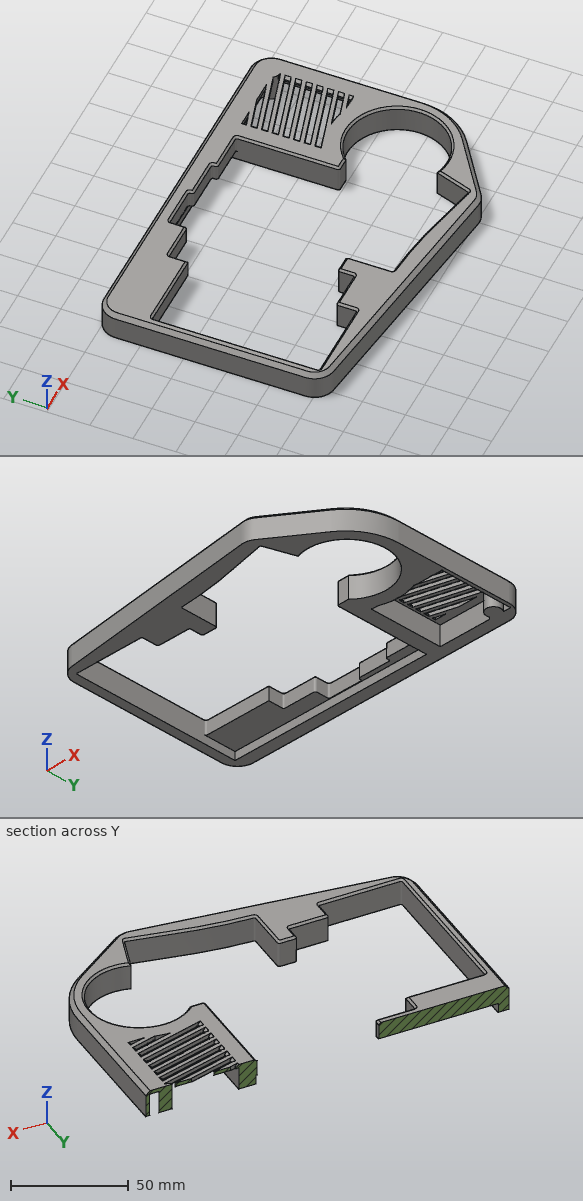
import cadquery as cq
import math

length = 173.4
width = 122.4
height = 13.0

corner_radius = 9.5
keel_angle = 7.35
nose_angle = 34.5
nose_x = 127.0
bay_corner_radius = 32.0
outer_chamfer = 2.0

bay_x = 143.5
bay_y = 45.5
bay_radius = 23.1

enclosing_radius = 0.75
protruding_radius = 1.1
opening_chamfer = 1.0
position_tolerance = 0.01
opening_left = 5.3
opening_right = 120.7
opening_floor = 20.6
upper_ledge_y = [98.2, 107.1, 115.2, 113.0, 110.3]
upper_step_x = [43.2, 62.3, 82.2, 101.4]
bay_lip_y = 62.2
lower_shelf_x = 44.9
lower_shelf_y = 30.2
post_left = 64.0
post_right = 73.0
post_top = 37.9
sweep_start_y = 16.2
sweep_middle = (93.5, 14.1)
sweep_end = (111.0, 10.7)
tooth_foot = (130.4, 6.6)
tooth_tip_x = 136.0

shelf_underside = 4.6
back_wall_y = 115.6
recess_overlap = 2.0

vent_left = 129.0
vent_right = 163.5
vent_bottom = 74.6
vent_top = 111.3
roof_thickness = 2.0
slot_end_bevel_run = 1.4
slot_end_bevel_depth = 1.17
pocket_side_wall = 2.0
pocket_fillet = 1.6
slot_count = 10
slot_angle = 15.0
slot_pitch = 4.79
slot_width = 2.7
bay_wall_radius = 31.0
post_radius = 4.2


def on_circle(x, y, radius, degrees):
    angle = math.radians(degrees)
    return (x + radius * math.cos(angle), y + radius * math.sin(angle))


def frame_body():
    right_corner_x = length - corner_radius
    top_corner_y = width - corner_radius
    keel_direction = -90 - keel_angle
    nose_direction = -90 + nose_angle
    keel_end = on_circle(nose_x, corner_radius, corner_radius, keel_direction)
    nose_low = on_circle(nose_x, corner_radius, corner_radius, -90)
    nose_end = on_circle(nose_x, corner_radius, corner_radius, nose_direction)

    fall = math.radians(keel_angle)
    left_corner_y = corner_radius + (nose_x - corner_radius) * math.tan(fall)
    left_corner = (corner_radius, left_corner_y, corner_radius)

    rise = math.radians(nose_angle)
    bay_corner_x = length - bay_corner_radius
    radius_growth = bay_corner_radius - corner_radius
    bay_corner_y = corner_radius + ((bay_corner_x - nose_x) * math.sin(rise) + radius_growth) / math.cos(rise)
    bay_corner = (bay_corner_x, bay_corner_y, bay_corner_radius)

    top_left = (corner_radius, top_corner_y, corner_radius)
    top_right = (right_corner_x, top_corner_y, corner_radius)
    outline = (
        cq.Workplane("XY")
        .moveTo(*on_circle(*left_corner, keel_direction))
        .lineTo(*keel_end)
        .threePointArc(nose_low, nose_end)
        .lineTo(*on_circle(*bay_corner, nose_direction))
        .threePointArc(on_circle(*bay_corner, nose_direction / 2), on_circle(*bay_corner, 0))
        .lineTo(length, top_corner_y)
        .threePointArc(on_circle(*top_right, 45), on_circle(*top_right, 90))
        .lineTo(corner_radius, width)
        .threePointArc(on_circle(*top_left, 135), on_circle(*top_left, 180))
        .lineTo(0, left_corner_y)
        .threePointArc(on_circle(*left_corner, 225), on_circle(*left_corner, keel_direction))
        .close()
    )
    return outline.extrude(height).faces(">Z").chamfer(outer_chamfer)


def round_uprights(cutter, corners, radius):
    """Round the upright edges of the cutter that stand on the given corners."""

    def stands_on_a_corner(edge):
        center = edge.Center()
        return any(math.dist((center.x, center.y), corner) < position_tolerance for corner in corners)

    return cutter.edges("|Z").filter(stands_on_a_corner).fillet(radius)


def opening_cutter():
    bay_lip_x = bay_x - math.sqrt(bay_radius**2 - (bay_lip_y - bay_y) ** 2)
    tooth_tip_y = bay_y - math.sqrt(bay_radius**2 - (tooth_tip_x - bay_x) ** 2)

    outline = cq.Workplane("XY").moveTo(opening_left, opening_floor).lineTo(opening_left, upper_ledge_y[0])
    for step_x, ledge_before, ledge_after in zip(upper_step_x, upper_ledge_y, upper_ledge_y[1:]):
        outline = outline.lineTo(step_x, ledge_before).lineTo(step_x, ledge_after)
    outline = (
        outline.lineTo(opening_right, upper_ledge_y[-1])
        .lineTo(opening_right, bay_lip_y)
        .lineTo(bay_lip_x, bay_lip_y)
        .threePointArc((bay_x + bay_radius, bay_y), (tooth_tip_x, tooth_tip_y))
        .lineTo(*tooth_foot)
        .lineTo(*sweep_end)
        .threePointArc(sweep_middle, (post_right, sweep_start_y))
        .lineTo(post_right, post_top)
        .lineTo(post_left, post_top)
        .lineTo(post_left, lower_shelf_y)
        .lineTo(lower_shelf_x, lower_shelf_y)
        .lineTo(lower_shelf_x, opening_floor)
        .close()
    )
    enclosing_corners = [
        (opening_left, opening_floor),
        (opening_left, upper_ledge_y[0]),
        (upper_step_x[0], upper_ledge_y[1]),
        (upper_step_x[1], upper_ledge_y[2]),
        (upper_step_x[2], upper_ledge_y[2]),
        (upper_step_x[3], upper_ledge_y[3]),
        (opening_right, upper_ledge_y[4]),
        tooth_foot,
        (post_right, sweep_start_y),
        (post_left, lower_shelf_y),
        (lower_shelf_x, opening_floor),
    ]
    protruding_corners = [
        (upper_step_x[1], upper_ledge_y[1]),
        (upper_step_x[2], upper_ledge_y[3]),
        (upper_step_x[3], upper_ledge_y[4]),
        (opening_right, bay_lip_y),
        (post_right, post_top),
        (post_left, post_top),
        (lower_shelf_x, lower_shelf_y),
    ]
    cutter = outline.extrude(height)
    cutter = round_uprights(cutter, enclosing_corners, enclosing_radius)
    return round_uprights(cutter, protruding_corners, protruding_radius)


def cut_opening(body):
    """Cut the opening and bevel its upper rim."""
    opened = body.cut(opening_cutter())
    upper_face = opened.faces(">Z")
    return opened.newObject(upper_face.val().innerWires()).chamfer(opening_chamfer)


def cut_shelf_recess(body):
    """Clear the space below the upper ledges, flush with the side walls of the opening."""
    recess_front = upper_ledge_y[0] - recess_overlap
    recess = cq.Workplane("XY", origin=(opening_left, recess_front, 0)).box(
        opening_right - opening_left, back_wall_y - recess_front, shelf_underside, centered=False
    )
    return body.cut(recess)


def kept_solid():
    """The wall around the bay and the corner post, which the vent leaves standing."""
    bay_wall = cq.Workplane("XY").center(bay_x, bay_y).circle(bay_wall_radius).extrude(height)
    post = (
        cq.Workplane("XY")
        .center(length - corner_radius, width - corner_radius)
        .circle(post_radius)
        .extrude(height)
    )
    return bay_wall.union(post)


def vent_pocket():
    pocket_right = length - pocket_side_wall
    pocket_depth = height - roof_thickness
    pocket = (
        cq.Workplane("XY", origin=(vent_left, vent_bottom, 0))
        .box(pocket_right - vent_left, back_wall_y - vent_bottom, pocket_depth, centered=False)
        .cut(kept_solid())
    )
    post_side = (length - corner_radius - post_radius, back_wall_y, pocket_depth / 2)
    return pocket.edges(cq.selectors.NearestToPointSelector(post_side)).fillet(pocket_fillet)


def vent_window():
    """Region that bounds the slots, with its two ends bevelled at the top."""
    bevel_bottom = height - slot_end_bevel_depth
    narrow_left = vent_left + slot_end_bevel_run
    narrow_right = vent_right - slot_end_bevel_run
    profile = [
        (narrow_left, 0),
        (narrow_left, bevel_bottom),
        (vent_left, height),
        (vent_right, height),
        (narrow_right, bevel_bottom),
        (narrow_right, 0),
    ]
    window = cq.Workplane("XZ", origin=(0, vent_top, 0)).polyline(profile).close()
    return window.extrude(vent_top - vent_bottom).cut(kept_solid())


def slot_bars():
    center = ((vent_left + vent_right) / 2, (vent_bottom + vent_top) / 2)
    bar_length = 2 * (vent_right - vent_left)
    return (
        cq.Workplane("XY")
        .center(*center)
        .transformed(rotate=(0, 0, slot_angle))
        .rarray(1, slot_pitch, 1, slot_count)
        .rect(bar_length, slot_width)
        .extrude(height)
    )


def cut_vent(body):
    """Cut the pocket under the roof and the slots through the roof."""
    slots = slot_bars().intersect(vent_window())
    return body.cut(vent_pocket()).cut(slots)


result = cut_vent(cut_shelf_recess(cut_opening(frame_body())))